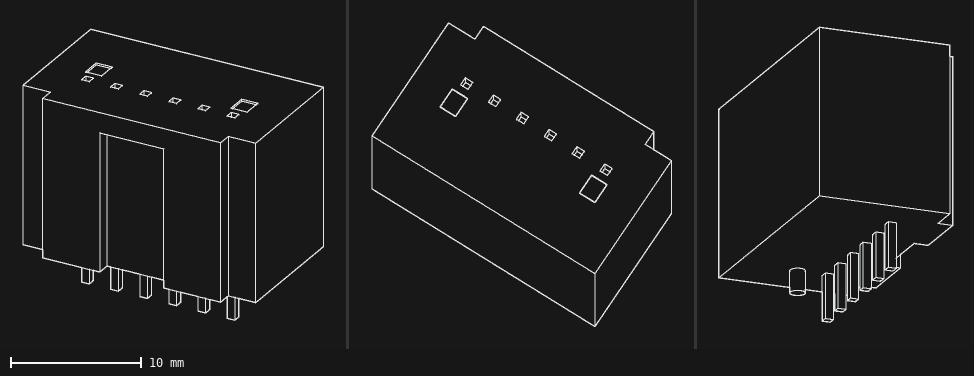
import cadquery as cq

HOUSING_LENGTH = 20.32
HOUSING_DEPTH = 12.0
HOUSING_HEIGHT = 13.7
STEP_LENGTH = 15.52
STEP_DEPTH = 1.22
STEP_FACE_Y = 0.0
SHOULDER_Y = STEP_FACE_Y + STEP_DEPTH

RECESS_WIDTH = 5.57
RECESS_DEPTH = 1.15
RECESS_ROOF = 1.75
RECESS_HEIGHT = HOUSING_HEIGHT - RECESS_ROOF

PIN_COUNT = 6
PIN_PITCH = 2.55
PIN_SIZE = 0.67
PIN_LENGTH = 3.7
PIN_ROW_Y = 4.55
HOLE_DEPTH = 1.22
END_PIN_X = PIN_PITCH * (PIN_COUNT - 1) / 2
PIN_POSITIONS = [(i * PIN_PITCH - END_PIN_X, PIN_ROW_Y) for i in range(PIN_COUNT)]

POST_DIAMETER = 1.2
POST_LENGTH = 1.8
POST_Y = PIN_ROW_Y + 2.5

LABEL_WIDTH = 1.4
LABEL_HEIGHT = 1.7
LABEL_DEPTH = 0.16
LABEL_Y = PIN_ROW_Y + 1.8


def make_box(length, depth, height, front_y):
    """Box centred on X, reaching from front_y towards +Y and from Z = 0 upwards."""
    box = cq.Workplane("XY").box(length, depth, height, centered=(True, False, False))
    return box.translate((0, front_y, 0))


def make_prisms(positions, width, depth, height, base_z):
    """Equal rectangular prisms centred on the given XY positions."""
    base = cq.Workplane("XY").workplane(offset=base_z)
    return base.pushPoints(positions).rect(width, depth).extrude(height)


def make_housing():
    block = make_box(HOUSING_LENGTH, HOUSING_DEPTH - STEP_DEPTH, HOUSING_HEIGHT, SHOULDER_Y)
    step = make_box(STEP_LENGTH, STEP_DEPTH, HOUSING_HEIGHT, STEP_FACE_Y)
    recess = make_box(RECESS_WIDTH, RECESS_DEPTH, RECESS_HEIGHT, STEP_FACE_Y)
    return block.union(step).cut(recess)


def make_test_holes():
    return make_prisms(PIN_POSITIONS, PIN_SIZE, PIN_SIZE, HOLE_DEPTH, HOUSING_HEIGHT - HOLE_DEPTH)


def make_label_pockets():
    positions = [(x, LABEL_Y) for x in (-END_PIN_X, END_PIN_X)]
    return make_prisms(positions, LABEL_WIDTH, LABEL_HEIGHT, LABEL_DEPTH, HOUSING_HEIGHT - LABEL_DEPTH)


def make_pins():
    return make_prisms(PIN_POSITIONS, PIN_SIZE, PIN_SIZE, PIN_LENGTH, -PIN_LENGTH)


def make_post():
    post_base = cq.Workplane("XY").center(END_PIN_X, POST_Y)
    return post_base.circle(POST_DIAMETER / 2).extrude(-POST_LENGTH)


housing = make_housing().cut(make_test_holes()).cut(make_label_pockets())
result = housing.union(make_pins()).union(make_post())